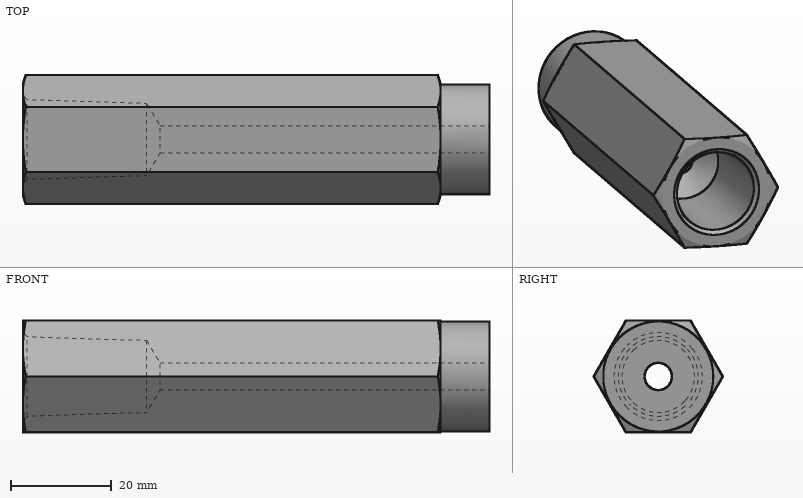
import cadquery as cq
import math

total_length = 92.7
across_flats = 22.25
spigot_length = 9.7
spigot_diameter = 21.9

hex_length = total_length - spigot_length
across_corners = across_flats / math.cos(math.radians(30))
corner_radius = across_corners / 2
end_face_radius = across_flats / 2
corner_chamfer_angle = 18.0
corner_chamfer_length = (corner_radius - end_face_radius) * math.tan(math.radians(corner_chamfer_angle))

port_mouth_diameter = 17.5
port_top_diameter = 15.85
port_bottom_diameter = 14.4
port_taper = 1 / 16
mouth_chamfer_length = (port_mouth_diameter - port_top_diameter) / 2
port_depth = mouth_chamfer_length + (port_top_diameter - port_bottom_diameter) / port_taper

passage_diameter = 5.4
floor_cone_angle = 118.0
floor_cone_width = (port_bottom_diameter - passage_diameter) / 2
floor_cone_length = floor_cone_width / math.tan(math.radians(floor_cone_angle / 2))


def revolve_about_x(points):
    """Solid of revolution about the X axis from (x, radius) points."""
    return cq.Workplane("XY").polyline(points).close().revolve(360, (0, 0, 0), (1, 0, 0))


def hex_body():
    """Hexagonal bar with flats facing +Z and -Z and chamfered corners."""
    bar = cq.Workplane("YZ").polygon(6, across_corners).extrude(hex_length)
    envelope = revolve_about_x([
        (0, 0),
        (0, end_face_radius),
        (corner_chamfer_length, corner_radius),
        (hex_length - corner_chamfer_length, corner_radius),
        (hex_length, end_face_radius),
        (hex_length, 0),
    ])
    return bar.intersect(envelope)


def spigot():
    """Plain round end on the +X side."""
    shoulder = cq.Workplane("YZ").workplane(offset=hex_length)
    return shoulder.circle(spigot_diameter / 2).extrude(spigot_length)


def bore():
    """Chamfered, tapered port with a conical floor, leading to the through passage."""
    return revolve_about_x([
        (0, 0),
        (0, port_mouth_diameter / 2),
        (mouth_chamfer_length, port_top_diameter / 2),
        (port_depth, port_bottom_diameter / 2),
        (port_depth + floor_cone_length, passage_diameter / 2),
        (total_length, passage_diameter / 2),
        (total_length, 0),
    ])


result = hex_body().union(spigot()).cut(bore())